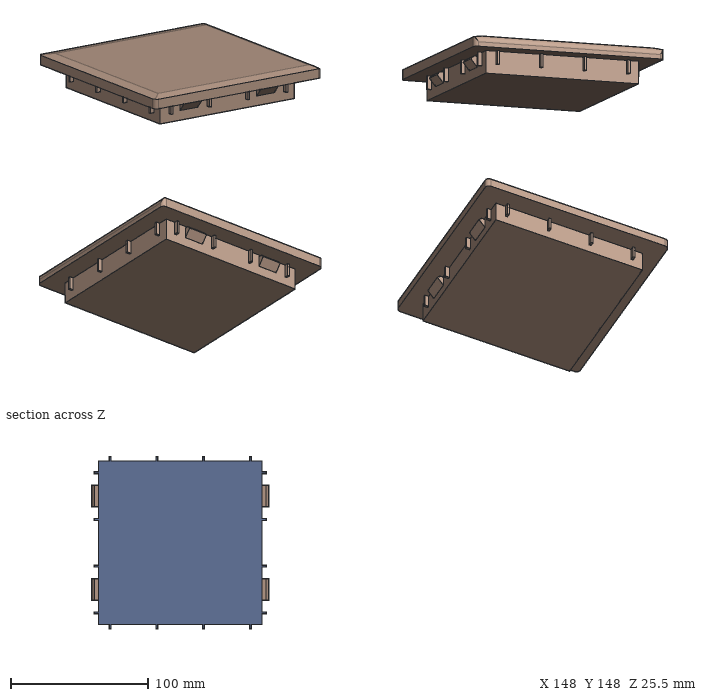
import cadquery as cq

plate_side = 148.0
plate_corner_radius = 3.1
plate_thickness = 8.7
bevel_run = 8.7
bevel_drop = 1.5
back_edge_radius = 5.5

total_height = 25.5
plug_side = 119.3

rib_pitch = 34.0
ribs_per_wall = 4
rib_thickness = 1.6
rib_projection = 3.1
rib_height = 9.9

barb_length = 15.7
barb_projection = 4.9
barb_top_gap = 1.2
barb_tip_depth = 3.4
barb_bottom_depth = 9.3

half_plate = plate_side / 2
half_plug = plug_side / 2
plug_height = total_height - plate_thickness
bevel_edge_height = plate_thickness - bevel_drop


def make_plate():
    """Rounded square trimmed by its X and Y cross-sections."""
    blank = (
        cq.Workplane("XY")
        .rect(plate_side, plate_side)
        .extrude(plate_thickness)
        .edges("|Z")
        .fillet(plate_corner_radius)
    )
    x_section = (
        cq.Workplane("XZ")
        .moveTo(-half_plate, 0)
        .lineTo(half_plate, 0)
        .lineTo(half_plate, bevel_edge_height)
        .lineTo(half_plate - bevel_run, plate_thickness)
        .lineTo(-half_plate + bevel_run, plate_thickness)
        .lineTo(-half_plate, bevel_edge_height)
        .close()
        .extrude(half_plate, both=True)
    )
    y_section = (
        cq.Workplane("YZ")
        .moveTo(-half_plate, 0)
        .lineTo(half_plate, 0)
        .lineTo(half_plate, plate_thickness - back_edge_radius)
        .radiusArc((half_plate - back_edge_radius, plate_thickness), -back_edge_radius)
        .lineTo(-half_plate + bevel_run, plate_thickness)
        .lineTo(-half_plate, bevel_edge_height)
        .close()
        .extrude(half_plate, both=True)
    )
    return blank.intersect(x_section).intersect(y_section)


def make_plug():
    return cq.Workplane("XY").rect(plug_side, plug_side).extrude(-plug_height)


def make_ribs():
    """Bars crossing the plug both ways; their ends are the ribs on opposite walls."""
    bar_length = plug_side + 2 * rib_projection
    along_x = (
        cq.Workplane("XY")
        .rarray(1.5, rib_pitch, 1, ribs_per_wall)
        .rect(bar_length, rib_thickness)
        .extrude(-rib_height)
    )
    along_y = along_x.rotate((0, 0, 0), (0, 0, 1), 90)
    return along_x.union(along_y)


def make_barb_pair(y_centre):
    """Barbs on both X walls, formed by one bar through the plug with pointed ends."""
    tip_x = half_plug + barb_projection
    shoulder_x = tip_x - (barb_tip_depth - barb_top_gap)
    return (
        cq.Workplane("XZ", origin=(0, y_centre, 0))
        .moveTo(-half_plug, -barb_bottom_depth)
        .lineTo(half_plug, -barb_bottom_depth)
        .lineTo(tip_x, -barb_tip_depth)
        .lineTo(shoulder_x, -barb_top_gap)
        .lineTo(-shoulder_x, -barb_top_gap)
        .lineTo(-tip_x, -barb_tip_depth)
        .close()
        .extrude(barb_length / 2, both=True)
    )


result = make_plate().union(make_plug()).union(make_ribs())
for y_centre in (-rib_pitch, rib_pitch):
    result = result.union(make_barb_pair(y_centre))